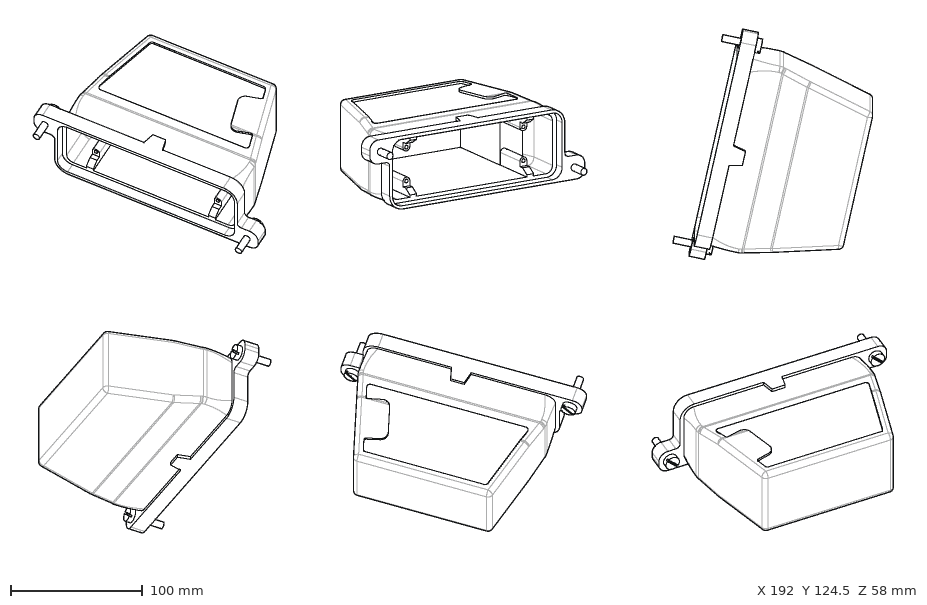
import cadquery as cq
import math


flange_half_x = 78.2
flange_half_z = 29.0
flange_thickness = 12.0
flange_corner_radius = 12.0
ear_end_x = 96.0
ear_inner_z = 10.0
ear_corner_radius = 7.5
ear_root_radius = 3.5

hood_top_y = 110.5
hood_half_z = flange_half_z
neck_half_x = 75.0
neck_half_z = 26.4
neck_straight_end_y = 33.4
side_slope_start_y = 35.0
side_slope = math.tan(math.radians(15.1))
face_slope_start_y = 36.5
face_slope_end_y = 57.3
side_bend_radius = 11.0
face_bend_radius = 10.0
edge_radius = 4.0
neck_mid_y = 23.5
neck_mid_radius = 4.8
neck_root_radius = 8.3

lug_root_half_x = 7.85
lug_tip_half_x = 5.5
lug_tip_y = 21.9

recess_half_x = 75.7
recess_half_z = 26.3
recess_depth = 8.0
recess_corner_radius = 8.6
cavity_half_x = 72.0
cavity_half_z = 23.4
cavity_corner_radius = 5.8
cavity_taper_start_y = 34.8
cavity_floor_y = 103.4

block_inner_x = 48.9
block_face_y = 46.2

pillar_x = 52.2
pillar_z = 13.4
pillar_width = 6.0
pillar_shoulder_z = cavity_half_z - cavity_corner_radius
pillar_rim_z = 21.6
pillar_slope_length = 6.1
pillar_shoulder_length = 3.8
pillar_slope_end_y = recess_depth + pillar_slope_length
pillar_seat_y = pillar_slope_end_y + pillar_shoulder_length
pillar_hole_diameter = 2.8
pillar_hole_depth = 10.0

panel_floor_z = 27.2
panel_inset_x = 7.6
panel_low_y = 44.0
panel_high_y = 102.8
panel_corner_radius = 2.5
tab_low_y = 58.0
tab_high_y = 91.6
tab_reach = 18.2
tab_corner_radius = 6.0
tab_root_radius = 1.8

screw_x = 86.5
screw_z = 19.5
screw_diameter = 5.5
screw_protrusion = 14.0
head_diameter = 11.3
head_height = 4.3
head_slot_width = 1.4
head_slot_depth = 1.8
head_slot_angle = 45.0


def side_x(y):
    """Half width in X of the sloping hood sides at height y."""
    return neck_half_x - (y - side_slope_start_y) * side_slope


def plane_y(y, z=0.0):
    """Work plane facing +Y whose local axes are X and -Z."""
    return cq.Workplane(cq.Plane(origin=(0, y, z), xDir=(1, 0, 0), normal=(0, 1, 0)))


def box_between(x_range, y_range, z_range):
    lows, highs = zip(x_range, y_range, z_range)
    sizes = [high - low for low, high in zip(lows, highs)]
    return cq.Workplane("XY").box(*sizes, centered=False).translate(lows)


def rounded_block(half_x, half_z, radius, y_start, y_end):
    block = box_between((-half_x, half_x), (y_start, y_end), (-half_z, half_z))
    return block.edges("|Y").fillet(radius)


def edges_at(body, points):
    """Edges whose midpoints lie nearest to the given points."""
    selected = body.newObject([])
    for point in points:
        selected = selected.add(body.edges(cq.NearestToPointSelector(point)))
    return selected


def make_flange():
    flange = rounded_block(flange_half_x, flange_half_z, flange_corner_radius, 0, flange_thickness)
    for side in (-1, 1):
        ear = box_between(
            sorted((0, side * ear_end_x)),
            (0, flange_thickness),
            sorted((-side * ear_inner_z, -side * flange_half_z)),
        )
        ear_tip = ">X" if side > 0 else "<X"
        flange = flange.union(ear.faces(ear_tip).edges("|Y").fillet(ear_corner_radius))
    mid_y = flange_thickness / 2
    roots = [(side * flange_half_x, mid_y, -side * ear_inner_z) for side in (-1, 1)]
    return edges_at(flange, roots).fillet(ear_root_radius)


def make_upper_hood():
    """Hood above the neck: trapezoid in XY crossed with a widening profile in YZ."""
    top_half_x = side_x(hood_top_y)
    start_y = neck_straight_end_y
    trapezoid = (
        cq.Workplane("XY", origin=(0, 0, -hood_half_z))
        .moveTo(-neck_half_x, start_y)
        .lineTo(neck_half_x, start_y)
        .lineTo(neck_half_x, side_slope_start_y)
        .lineTo(top_half_x, hood_top_y)
        .lineTo(-top_half_x, hood_top_y)
        .lineTo(-neck_half_x, side_slope_start_y)
        .close()
        .extrude(2 * hood_half_z)
    )
    side_bends = [(sx * neck_half_x, side_slope_start_y, 0) for sx in (-1, 1)]
    trapezoid = edges_at(trapezoid, side_bends).fillet(side_bend_radius)

    widening = (
        cq.Workplane("YZ", origin=(-neck_half_x, 0, 0))
        .moveTo(start_y, -neck_half_z)
        .lineTo(face_slope_start_y, -neck_half_z)
        .lineTo(face_slope_end_y, -hood_half_z)
        .lineTo(hood_top_y, -hood_half_z)
        .lineTo(hood_top_y, hood_half_z)
        .lineTo(face_slope_end_y, hood_half_z)
        .lineTo(face_slope_start_y, neck_half_z)
        .lineTo(start_y, neck_half_z)
        .close()
        .extrude(2 * neck_half_x)
    )
    face_bends = [
        (0, y, sz * half_z)
        for sz in (-1, 1)
        for y, half_z in ((face_slope_start_y, neck_half_z), (face_slope_end_y, hood_half_z))
    ]
    widening = edges_at(widening, face_bends).fillet(face_bend_radius)

    hood = trapezoid.intersect(widening)
    mid_y = (face_slope_end_y + hood_top_y) / 2
    corners = [(sx * side_x(mid_y), mid_y, sz * hood_half_z) for sx in (-1, 1) for sz in (-1, 1)]
    end_edges = [(0, hood_top_y, sz * hood_half_z) for sz in (-1, 1)]
    end_edges += [(sx * top_half_x, hood_top_y, 0) for sx in (-1, 1)]
    return edges_at(hood, corners + end_edges).fillet(edge_radius)


def neck_outline(radius):
    return cq.Sketch().rect(2 * neck_half_x, 2 * neck_half_z).vertices().fillet(radius)


def make_neck():
    """Straight neck whose corner rounding grows towards the flange."""
    root = neck_outline(neck_root_radius)
    middle_shift = cq.Location((0, 0, neck_mid_y - flange_thickness))
    end_shift = cq.Location((0, 0, neck_straight_end_y - flange_thickness))
    middle = neck_outline(neck_mid_radius).moved(middle_shift)
    end = neck_outline(edge_radius).moved(end_shift)
    return plane_y(flange_thickness).placeSketch(root, middle, end).loft()


def make_lugs():
    return (
        cq.Workplane("XY", origin=(0, 0, -flange_half_z))
        .moveTo(-lug_root_half_x, flange_thickness)
        .lineTo(lug_root_half_x, flange_thickness)
        .lineTo(lug_tip_half_x, lug_tip_y)
        .lineTo(-lug_tip_half_x, lug_tip_y)
        .close()
        .extrude(2 * flange_half_z)
    )


def make_recess():
    return rounded_block(recess_half_x, recess_half_z, recess_corner_radius, 0, recess_depth)


def make_cavity():
    """Interior space: straight behind the recess, then tapering along the end walls."""
    floor_half_x = cavity_half_x - (cavity_floor_y - cavity_taper_start_y) * side_slope
    cavity = (
        cq.Workplane("XY", origin=(0, 0, -cavity_half_z))
        .moveTo(-cavity_half_x, recess_depth)
        .lineTo(cavity_half_x, recess_depth)
        .lineTo(cavity_half_x, cavity_taper_start_y)
        .lineTo(floor_half_x, cavity_floor_y)
        .lineTo(-floor_half_x, cavity_floor_y)
        .lineTo(-cavity_half_x, cavity_taper_start_y)
        .close()
        .extrude(2 * cavity_half_z)
    )
    straight_y = (recess_depth + cavity_taper_start_y) / 2
    taper_y = (cavity_taper_start_y + cavity_floor_y) / 2
    taper_x = (cavity_half_x + floor_half_x) / 2
    corners = [
        (sx * x, y, sz * cavity_half_z)
        for x, y in ((cavity_half_x, straight_y), (taper_x, taper_y))
        for sx in (-1, 1)
        for sz in (-1, 1)
    ]
    cavity = edges_at(cavity, corners).fillet(cavity_corner_radius)
    block = box_between(
        (block_inner_x, cavity_half_x),
        (block_face_y, cavity_floor_y),
        (-cavity_half_z, cavity_half_z),
    )
    return cavity.cut(block)


def make_pillar(x, side_z):
    """Screw pillar on one broad wall, with a ramp rising from its seat to the recess."""
    ramp = (
        cq.Workplane("YZ", origin=(-pillar_width / 2, 0, 0))
        .moveTo(recess_depth, cavity_half_z)
        .lineTo(recess_depth, pillar_rim_z)
        .lineTo(pillar_slope_end_y, pillar_shoulder_z)
        .lineTo(pillar_seat_y, pillar_shoulder_z)
        .lineTo(pillar_seat_y, pillar_z)
        .lineTo(cavity_floor_y, pillar_z)
        .lineTo(cavity_floor_y, cavity_half_z)
        .close()
        .extrude(pillar_width)
    )
    seat = plane_y(pillar_seat_y, z=pillar_z)
    nose = seat.circle(pillar_width / 2).extrude(cavity_floor_y - pillar_seat_y)
    hole = seat.circle(pillar_hole_diameter / 2).extrude(pillar_hole_depth)
    pillar = ramp.union(nose).cut(hole)
    if side_z < 0:
        pillar = pillar.mirror("XY")
    return pillar.translate((x, 0, 0))


def make_panel():
    """Material removed from the +Z face around the raised tab."""
    height = hood_half_z - panel_floor_z
    low_x = side_x(panel_low_y) - panel_inset_x
    high_x = side_x(panel_high_y) - panel_inset_x
    panel = (
        cq.Workplane("XY", origin=(0, 0, panel_floor_z))
        .moveTo(-low_x, panel_low_y)
        .lineTo(low_x, panel_low_y)
        .lineTo(high_x, panel_high_y)
        .lineTo(-high_x, panel_high_y)
        .close()
        .extrude(height)
        .edges("|Z")
        .fillet(panel_corner_radius)
    )
    tab_mid_y = (tab_low_y + tab_high_y) / 2
    tab_edge_x = side_x(tab_mid_y) - panel_inset_x
    slope_angle = math.atan(side_slope)
    tab_length = (tab_high_y - tab_low_y) / math.cos(slope_angle)
    tab = (
        cq.Workplane("XY")
        .box(2 * tab_reach, tab_length, height, centered=(True, True, False))
        .edges("|Z and <X")
        .fillet(tab_corner_radius)
        .rotate((0, 0, 0), (0, 0, 1), math.degrees(slope_angle))
        .translate((tab_edge_x, tab_mid_y, panel_floor_z))
    )
    root_z = panel_floor_z + height / 2
    roots = [(side_x(y) - panel_inset_x, y, root_z) for y in (tab_low_y, tab_high_y)]
    return edges_at(panel.cut(tab), roots).fillet(tab_root_radius)


def make_screw(x, z):
    head_top_y = flange_thickness + head_height
    shank_length = screw_protrusion + flange_thickness
    shank = plane_y(-screw_protrusion).circle(screw_diameter / 2).extrude(shank_length)
    head = plane_y(flange_thickness).circle(head_diameter / 2).extrude(head_height)
    slot = (
        plane_y(head_top_y - head_slot_depth)
        .transformed(rotate=(0, 0, -head_slot_angle))
        .rect(2 * head_diameter, head_slot_width)
        .extrude(head_slot_depth)
    )
    return shank.union(head.cut(slot)).translate((x, 0, z))


hood = make_flange().union(make_neck()).union(make_upper_hood()).union(make_lugs())
hood = hood.cut(make_recess()).cut(make_cavity()).cut(make_panel())
for pillar_side_x in (-pillar_x, pillar_x):
    for pillar_side_z in (-1, 1):
        hood = hood.union(make_pillar(pillar_side_x, pillar_side_z))
for screw_side in (-1, 1):
    hood = hood.union(make_screw(screw_side * screw_x, -screw_side * screw_z))

result = hood